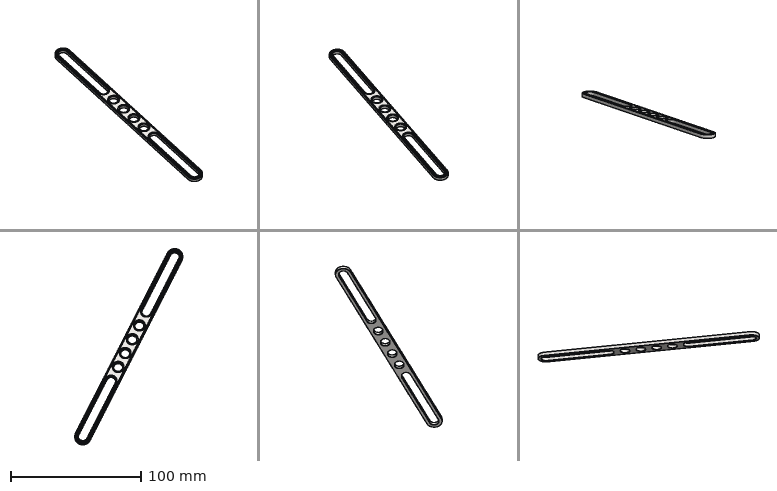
import cadquery as cq

length = 175.0
pitch_count = 14
pitch = length / pitch_count
width = pitch
thickness = 3.2

hole_count = 4
hole_diameter = 7.0
slot_inner_center = (hole_count + 1) / 2 * pitch
slot_outer_center = (length - width) / 2
slot_middle = (slot_inner_center + slot_outer_center) / 2
slot_center_span = slot_outer_center - slot_inner_center

band_width = 1.1
recess_depth = 0.21
recess_floor = thickness - recess_depth

edge_chamfer = 0.3


def strip(inset, bottom, height):
    """Solid with the strip outline, moved inward by the inset."""
    plane = cq.Workplane("XY").workplane(offset=bottom)
    return plane.slot2D(length - 2 * inset, width - 2 * inset).extrude(height)


def openings(diameter, bottom, height):
    """Solids filling all the holes and slots at the given diameter."""
    plane = cq.Workplane("XY").workplane(offset=bottom)
    holes = plane.rarray(pitch, 1.8, hole_count, 1).circle(diameter / 2).extrude(height)
    slot_places = plane.rarray(2 * slot_middle, 1.8, 2, 1)
    slots = slot_places.slot2D(slot_center_span + diameter, diameter).extrude(height)
    return holes.union(slots)


def top_recess():
    """Solid to remove between the outer rim and the bands around the openings."""
    bands = openings(hole_diameter + 2 * band_width, recess_floor, recess_depth)
    return strip(band_width, recess_floor, recess_depth).cut(bands)


plate = strip(0, 0, thickness).cut(openings(hole_diameter, 0, thickness))
plate = plate.faces("<Z or >Z").edges().chamfer(edge_chamfer)
result = plate.cut(top_recess())